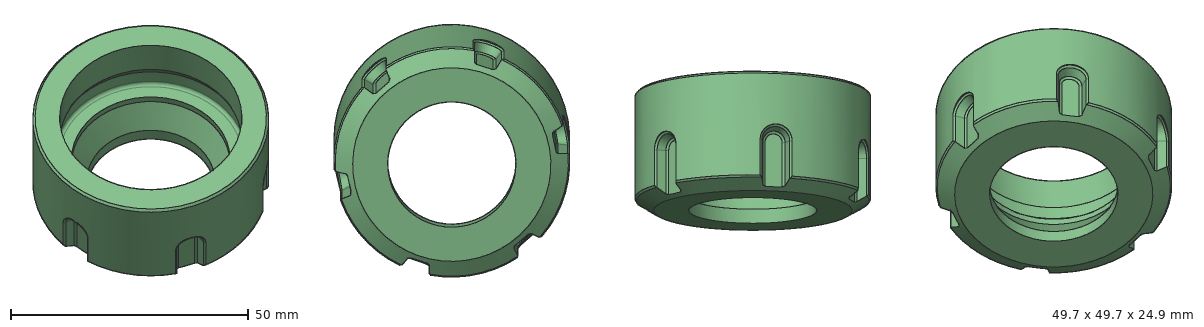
import cadquery as cq

height = 24.95
outer_radius = 24.85
top_chamfer = 0.5
bottom_face_radius = 20.85
bottom_cone_top_radius = 24.55
bottom_cone_height = 2.15
bottom_edge_height = 2.6

bore_radius = 38.35 / 2
bore_depth = 8.3
relief_radius = 40.5 / 2
relief_taper_height = 2.25
relief_floor_height = 10.35
relief_fillet = 0.8
seat_radius = 33.45 / 2
seat_height = 8.75
exit_radius = 27.0 / 2
exit_height = 3.05

slot_count = 6
first_slot_angle = 30.0
slot_arch_center_height = 10.2
slot_floor_radius = 22.0
slot_floor_half_width = 1.85
slot_corner_radius = 22.3
slot_corner_half_width = 2.4
slot_lip_radius = 24.25
slot_lip_half_width = 3.0
slot_mouth_radius = 24.6
slot_mouth_half_width = 3.45
slot_overrun = 0.5


def make_body():
    """Turned outer shape: chamfered top and conical underside."""
    return (
        cq.Workplane("XZ")
        .moveTo(0, 0)
        .lineTo(bottom_face_radius, 0)
        .lineTo(bottom_cone_top_radius, bottom_cone_height)
        .lineTo(outer_radius, bottom_edge_height)
        .lineTo(outer_radius, height - top_chamfer)
        .lineTo(outer_radius - top_chamfer, height)
        .lineTo(0, height)
        .close()
        .revolve(360, (0, 0, 0), (0, 1, 0))
    )


def make_bore():
    """Turned inner shape: thread bore, relief with filleted floor, seat and cone."""
    bore_bottom = height - bore_depth
    return (
        cq.Workplane("XZ")
        .moveTo(0, 0)
        .lineTo(exit_radius, 0)
        .lineTo(exit_radius, exit_height)
        .lineTo(seat_radius, seat_height)
        .lineTo(seat_radius, relief_floor_height)
        .lineTo(relief_radius - relief_fillet, relief_floor_height)
        .radiusArc((relief_radius, relief_floor_height + relief_fillet), -relief_fillet)
        .lineTo(relief_radius, bore_bottom - relief_taper_height)
        .lineTo(bore_radius, bore_bottom)
        .lineTo(bore_radius, height)
        .lineTo(0, height)
        .close()
        .revolve(360, (0, 0, 0), (0, 1, 0))
    )


def make_slot():
    """Flared slot cutter along +X: a turned arch over a straight channel that opens downward."""
    flank = [
        (slot_floor_radius, slot_floor_half_width),
        (slot_corner_radius, slot_corner_half_width),
        (slot_lip_radius, slot_lip_half_width),
        (slot_mouth_radius, slot_mouth_half_width),
        (outer_radius + slot_overrun, slot_mouth_half_width),
    ]
    mirrored_flank = [(x, -y) for x, y in reversed(flank)]
    section_plane = cq.Workplane("XY").workplane(offset=slot_arch_center_height)
    channel = (
        section_plane.polyline(flank + mirrored_flank)
        .close()
        .extrude(-slot_arch_center_height - slot_overrun)
    )
    axis_start = (slot_floor_radius, 0)
    axis_end = (outer_radius + slot_overrun, 0)
    arch = (
        section_plane.polyline([axis_start] + flank + [axis_end])
        .close()
        .revolve(360, axis_start, axis_end)
    )
    return channel.union(arch)


result = make_body().cut(make_bore())
slot = make_slot()
for index in range(slot_count):
    angle = first_slot_angle + index * 360 / slot_count
    result = result.cut(slot.rotate((0, 0, 0), (0, 0, 1), angle))